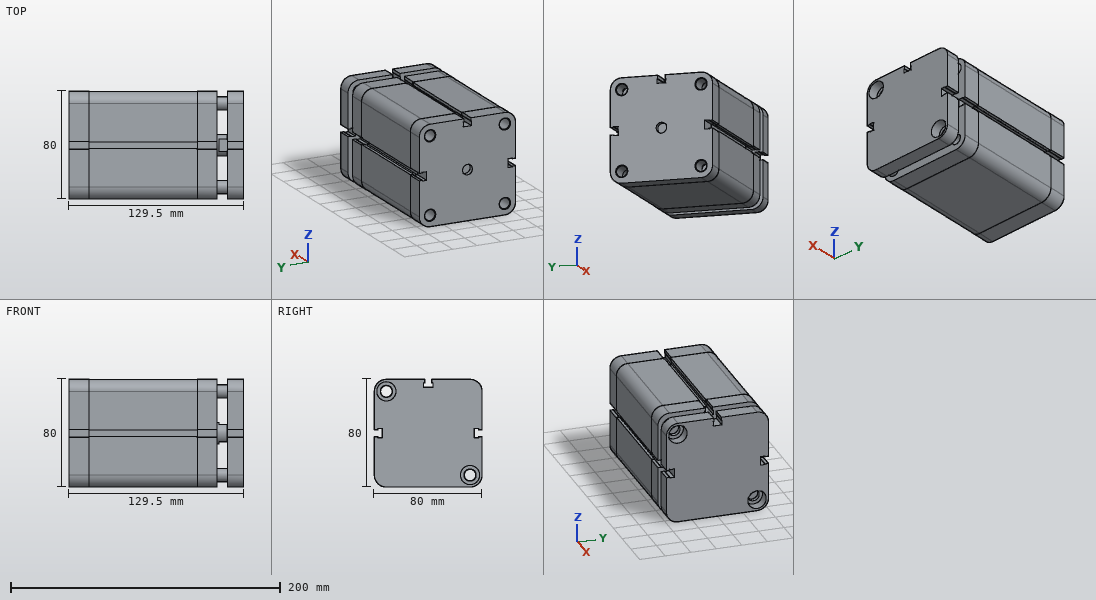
import cadquery as cq

TOTAL_LENGTH = 129.5
WIDTH = 80.0
CORNER_PITCH = 62.0
CAP_LENGTH = 14.8
PLATE_THICKNESS = 12.0
PLATE_GAP = 7.5
TUBE_STEP = 0.1

SLOT_INNER_WIDTH = 6.7
SLOT_LIP_DEPTH = 2.7
CAP_SLOT_MOUTH = 5.8
CAP_SLOT_DEPTH = 6.2
TUBE_SLOT_MOUTH = 4.9
TUBE_SLOT_DEPTH = 5.8
SLOT_ANGLES = (-90, 0, 90)

SCREW_HOLE_DIAMETER = 8.4
SCREW_HOLE_CHAMFER = 0.5
CENTRE_HOLE_DIAMETER = 8.2
CENTRE_HOLE_DEPTH = 3.8
PLATE_HOLE_DIAMETER = 9.1
COUNTERBORE_DIAMETER = 14.2
COUNTERBORE_DEPTH = 8.5

ROD_DIAMETER = 16.0
ROD_CHAMFER = 0.3
ROD_FLATS_WIDTH = 13.0
ROD_COLLAR = 1.4
GUIDE_DIAMETER = 10.0

PLATE_BACK = TOTAL_LENGTH - PLATE_THICKNESS
FRONT_CAP_END = PLATE_BACK - PLATE_GAP
FRONT_CAP_START = FRONT_CAP_END - CAP_LENGTH
TUBE_LENGTH = FRONT_CAP_START - CAP_LENGTH

CORNER = CORNER_PITCH / 2
GUIDE_CORNERS = [(CORNER, CORNER), (-CORNER, -CORNER)]
OPEN_CORNERS = [(-CORNER, CORNER), (CORNER, -CORNER)]
ALL_CORNERS = GUIDE_CORNERS + OPEN_CORNERS


def cylinders(diameter, start, length, places):
    """Cylinders along X at the given (y, z) places."""
    return (
        cq.Workplane("YZ", origin=(start, 0, 0))
        .pushPoints(places)
        .circle(diameter / 2)
        .extrude(length)
    )


def slot_cutter(start, length, mouth_width, depth):
    """A T-slot in the +Z side, open to the outside."""
    top = WIDTH / 2
    lip = top - SLOT_LIP_DEPTH
    mouth = cq.Workplane("XY").box(length, mouth_width, SLOT_LIP_DEPTH, centered=(False, True, False))
    inner = cq.Workplane("XY").box(
        length, SLOT_INNER_WIDTH, depth - SLOT_LIP_DEPTH, centered=(False, True, False)
    )
    return mouth.translate((start, 0, lip)).union(inner.translate((start, 0, top - depth)))


def profile_block(start, length, width, slot_mouth, slot_depth):
    """A square block with corners rounded about the hole pattern and a T-slot in three sides."""
    block = (
        cq.Workplane("YZ", origin=(start, 0, 0))
        .rect(width, width)
        .extrude(length)
        .edges("|X")
        .fillet((width - CORNER_PITCH) / 2)
    )
    slot = slot_cutter(start, length, slot_mouth, slot_depth)
    for angle in SLOT_ANGLES:
        block = block.cut(slot.rotate((0, 0, 0), (1, 0, 0), angle))
    return block


def make_rear_cap():
    cap = profile_block(0, CAP_LENGTH, WIDTH, CAP_SLOT_MOUTH, CAP_SLOT_DEPTH)
    cap = cap.cut(cylinders(SCREW_HOLE_DIAMETER, 0, CAP_LENGTH, ALL_CORNERS))
    hole_rims = cq.selectors.RadiusNthSelector(0)
    cap = cap.faces("<X").edges(hole_rims).chamfer(SCREW_HOLE_CHAMFER)
    return cap.cut(cylinders(CENTRE_HOLE_DIAMETER, 0, CENTRE_HOLE_DEPTH, [(0, 0)]))


def bore_for_rods(block, start, length):
    """Cut the bores for the piston rod and guide rods, and the two open screw holes."""
    block = block.cut(cylinders(ROD_DIAMETER, start, length, [(0, 0)]))
    block = block.cut(cylinders(GUIDE_DIAMETER, start, length, GUIDE_CORNERS))
    return block.cut(cylinders(SCREW_HOLE_DIAMETER, start, length, OPEN_CORNERS))


def make_tube():
    tube = profile_block(
        CAP_LENGTH, TUBE_LENGTH, WIDTH - 2 * TUBE_STEP, TUBE_SLOT_MOUTH, TUBE_SLOT_DEPTH
    )
    return bore_for_rods(tube, CAP_LENGTH, TUBE_LENGTH)


def make_front_cap():
    cap = profile_block(FRONT_CAP_START, CAP_LENGTH, WIDTH, CAP_SLOT_MOUTH, CAP_SLOT_DEPTH)
    return bore_for_rods(cap, FRONT_CAP_START, CAP_LENGTH)


def make_piston_rod():
    """A round rod that ends against the plate, with two wrench flats facing +Z and -Z."""
    rod = cylinders(ROD_DIAMETER, CAP_LENGTH, PLATE_BACK - CAP_LENGTH, [(0, 0)])
    rod = rod.faces(">X").chamfer(ROD_CHAMFER)
    flats_start = FRONT_CAP_END + ROD_COLLAR
    flats_length = PLATE_BACK - flats_start
    round_part = cq.Workplane("XY").box(flats_length, ROD_DIAMETER, ROD_DIAMETER)
    flat_part = cq.Workplane("XY").box(flats_length, ROD_DIAMETER, ROD_FLATS_WIDTH)
    waste = round_part.cut(flat_part).translate((flats_start + flats_length / 2, 0, 0))
    return rod.cut(waste)


def make_yoke():
    """The slotted plate with its two guide rods, and two counterbored screw holes."""
    plate = profile_block(PLATE_BACK, PLATE_THICKNESS, WIDTH, CAP_SLOT_MOUTH, CAP_SLOT_DEPTH)
    plate = plate.cut(cylinders(PLATE_HOLE_DIAMETER, PLATE_BACK, PLATE_THICKNESS, OPEN_CORNERS))
    counterbore_start = TOTAL_LENGTH - COUNTERBORE_DEPTH
    plate = plate.cut(
        cylinders(COUNTERBORE_DIAMETER, counterbore_start, COUNTERBORE_DEPTH, OPEN_CORNERS)
    )
    return plate.union(cylinders(GUIDE_DIAMETER, CAP_LENGTH, PLATE_BACK - CAP_LENGTH, GUIDE_CORNERS))


rear_cap = make_rear_cap()
tube = make_tube()
front_cap = make_front_cap()
piston_rod = make_piston_rod()
yoke = make_yoke()

result = cq.Compound.makeCompound(
    [rear_cap.val(), tube.val(), front_cap.val(), piston_rod.val(), yoke.val()]
)